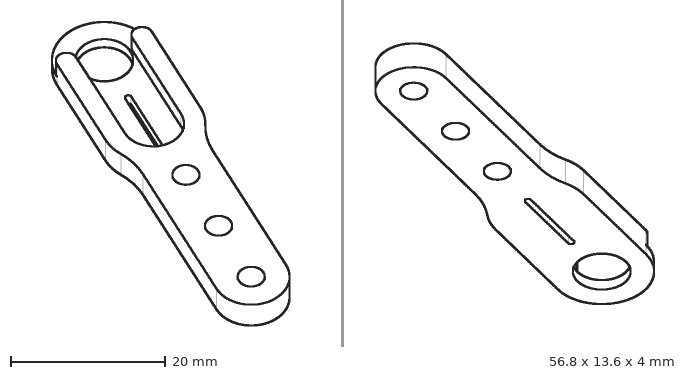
import cadquery as cq
import math

length = 56.75
head_width = 13.6
thickness = 4.0
floor_thickness = 1.6

head_radius = head_width / 2
handle_radius = 5.0
head_x = head_radius
handle_x = length - handle_radius
shoulder_x = 21.75
neck_radius = 10.0

recess_radius = 4.05
arm_tip_radius = (head_radius - recess_radius) / 2
arm_y = (head_radius + recess_radius) / 2

head_hole_diameter = 7.5
handle_hole_diameter = 3.5
handle_hole_count = 3
handle_hole_pitch = 10.0
slot_start_x = 13.75
slot_end_x = 24.85
slot_width = 0.85

radius_sum = head_radius + neck_radius
turn = math.acos(1 - (head_radius - handle_radius) / radius_sum)
neck_end_x = shoulder_x + radius_sum * math.sin(turn)


def shoulder_point(angle):
    """Point on the upper shoulder arc, with the angle measured from +Y."""
    return shoulder_x + head_radius * math.sin(angle), head_radius * math.cos(angle)


def neck_point(angle):
    """Point on the upper neck arc, with the angle measured from -Y."""
    return (
        neck_end_x - neck_radius * math.sin(angle),
        handle_radius + neck_radius * (1 - math.cos(angle)),
    )


def mirrored(point):
    return point[0], -point[1]


def make_body():
    shoulder_mid = shoulder_point(turn / 2)
    shoulder_end = shoulder_point(turn)
    neck_mid = neck_point(turn / 2)
    return (
        cq.Workplane("XY")
        .moveTo(head_x, head_radius)
        .lineTo(shoulder_x, head_radius)
        .threePointArc(shoulder_mid, shoulder_end)
        .threePointArc(neck_mid, (neck_end_x, handle_radius))
        .lineTo(handle_x, handle_radius)
        .threePointArc((length, 0), (handle_x, -handle_radius))
        .lineTo(neck_end_x, -handle_radius)
        .threePointArc(mirrored(neck_mid), mirrored(shoulder_end))
        .threePointArc(mirrored(shoulder_mid), (shoulder_x, -head_radius))
        .lineTo(head_x, -head_radius)
        .threePointArc((0, 0), (head_x, head_radius))
        .close()
        .extrude(thickness)
    )


def make_recess():
    """Open-ended pocket that leaves two arms with rounded tips."""
    depth = thickness - floor_thickness
    floor = cq.Workplane("XY").workplane(offset=floor_thickness)
    channel = (
        floor.moveTo(head_x, recess_radius)
        .lineTo(shoulder_x, recess_radius)
        .threePointArc((shoulder_x + recess_radius, 0), (shoulder_x, -recess_radius))
        .lineTo(head_x, -recess_radius)
        .close()
        .extrude(depth)
    )
    head_clearance = floor.rect(head_x, head_width).extrude(depth).translate((head_x / 2, 0, 0))
    arm_tips = (
        floor.pushPoints([(head_x, arm_y), (head_x, -arm_y)])
        .circle(arm_tip_radius)
        .extrude(depth)
    )
    return channel.union(head_clearance.cut(arm_tips))


def make_openings():
    head_hole = cq.Workplane("XY").center(head_x, 0).circle(head_hole_diameter / 2).extrude(thickness)
    handle_holes = (
        cq.Workplane("XY")
        .pushPoints([(handle_x - i * handle_hole_pitch, 0) for i in range(handle_hole_count)])
        .circle(handle_hole_diameter / 2)
        .extrude(thickness)
    )
    slot = (
        cq.Workplane("XY")
        .center((slot_start_x + slot_end_x) / 2, 0)
        .slot2D(slot_end_x - slot_start_x, slot_width)
        .extrude(thickness)
    )
    return head_hole.union(handle_holes).union(slot)


result = make_body().cut(make_recess()).cut(make_openings())